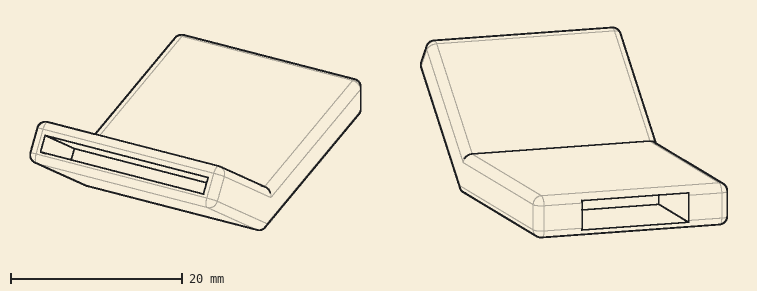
import cadquery as cq
import math

width = 24.0
total_length = 41.8
total_height = 15.9
thickness = 5.0
bend_angle = 40.0
edge_radius = 1.0
arm_slot_width = 21.0
rear_slot_width = 13.2
rear_slot_x = -0.35
arm_slot_height = 2.0
rear_slot_height = 3.5
slot_depth = 10.6
arm_slot_drop = 0.15

bend_sin = math.sin(math.radians(bend_angle))
bend_cos = math.cos(math.radians(bend_angle))

arm_rise = total_height - edge_radius - (thickness - edge_radius) * bend_cos
arm_length = edge_radius + arm_rise / bend_sin
bend_y = (arm_length - edge_radius) * bend_cos + edge_radius * (1 - bend_sin)
bend_shift = thickness * math.tan(math.radians(bend_angle / 2))


def arm_point(along, above):
    """(Y, Z) at a distance along the arm from the lower bend edge and above its underside."""
    y = bend_y - along * bend_cos + above * bend_sin
    z = along * bend_sin + above * bend_cos
    return y, z


def bent_plate():
    """Plate bent up toward -Y, with all edges rounded except the two across the bend."""
    outline = [
        (total_length, 0),
        (bend_y, 0),
        arm_point(arm_length, 0),
        arm_point(arm_length, thickness),
        (bend_y + bend_shift, thickness),
        (total_length, thickness),
    ]
    plate = cq.Workplane("YZ").polyline(outline).close().extrude(width / 2, both=True)
    lower_bend = cq.selectors.NearestToPointSelector((0, bend_y, 0))
    upper_bend = cq.selectors.NearestToPointSelector((0, bend_y + bend_shift, thickness))
    rounded_edges = cq.selectors.Selector() - lower_bend - upper_bend
    return plate.edges(rounded_edges).fillet(edge_radius)


def blind_slot(mouth, slot_width, slot_height):
    """Rectangular slot body sunk squarely inward from the mouth plane."""
    return cq.Workplane(mouth).rect(slot_width, slot_height).extrude(-slot_depth)


def arm_slot():
    """Slot in the end face of the arm, running down along the arm."""
    tip_y, tip_z = arm_point(arm_length, thickness / 2 - arm_slot_drop)
    mouth = cq.Plane(
        origin=(0, tip_y, tip_z),
        xDir=(1, 0, 0),
        normal=(0, -bend_cos, bend_sin),
    )
    return blind_slot(mouth, arm_slot_width, arm_slot_height)


def rear_slot():
    """Narrower slot in the rear end face of the flat plate."""
    mouth = cq.Plane(
        origin=(rear_slot_x, total_length, thickness / 2),
        xDir=(1, 0, 0),
        normal=(0, 1, 0),
    )
    return blind_slot(mouth, rear_slot_width, rear_slot_height)


result = bent_plate().cut(arm_slot()).cut(rear_slot())